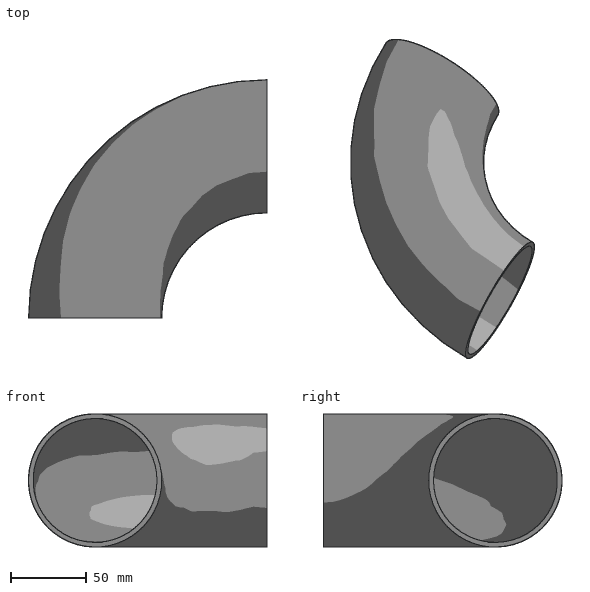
import cadquery as cq

overall_length = 159.0
pipe_diameter = 88.9
wall_thickness = 3.2
bend_angle = 90.0

outer_radius = pipe_diameter / 2
inner_radius = outer_radius - wall_thickness
bend_radius = overall_length - outer_radius

pipe_section = (
    cq.Workplane("XZ")
    .center(-bend_radius, 0)
    .circle(outer_radius)
    .circle(inner_radius)
)

axis_start = (bend_radius, 0)
axis_end = (bend_radius, -1)
result = pipe_section.revolve(bend_angle, axis_start, axis_end)